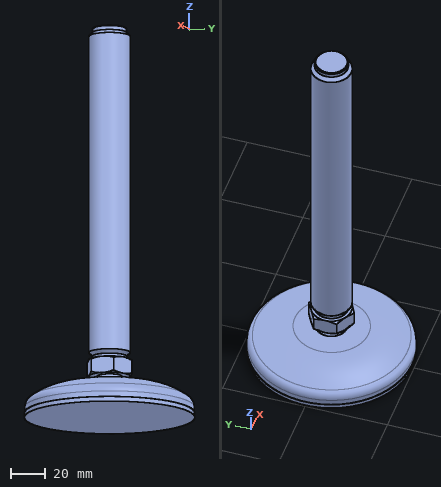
import cadquery as cq
import math

foot_diameter = 98.5
band_diameter = 98.0
rim_height = 2.8
band_top = 6.2
shoulder_diameter = 91.7
shoulder_top = 11.5
flat_top_diameter = 44.7
foot_height = 19.0

ball_diameter = 19.5
neck_diameter = 14.2
ball_top = 22.2

hex_bottom = 24.3
hex_height = 9.6
hex_across_flats = 24.0
hex_chamfer_angle = 30.0

spindle_diameter = 24.0
relief_diameter = 19.7
relief_top = 36.0
tip_bottom = 226.5
tip_face_diameter = 18.3
tip_chamfer_height = 0.5
total_height = 229.2

hex_top = hex_bottom + hex_height
hex_across_corners = hex_across_flats / math.cos(math.pi / 6)

spindle_chamfer = (spindle_diameter - relief_diameter) / 2
spindle_bottom = relief_top + spindle_chamfer
spindle_top = tip_bottom - spindle_chamfer


def point_on_circle(center, radius, angle):
    """Point at an angle in radians, measured from the outward horizontal."""
    return (center[0] + radius * math.cos(angle), center[1] + radius * math.sin(angle))


def make_foot():
    band_radius = band_diameter / 2
    shoulder_radius = shoulder_diameter / 2
    flat_radius = flat_top_diameter / 2

    shoulder_rise = shoulder_top - band_top
    shoulder_run = band_radius - shoulder_radius
    shoulder_arc = (shoulder_rise**2 + shoulder_run**2) / (2 * shoulder_run)
    shoulder_center = (band_radius - shoulder_arc, band_top)
    shoulder_angle = math.asin(shoulder_rise / shoulder_arc)
    shoulder_middle = point_on_circle(shoulder_center, shoulder_arc, shoulder_angle / 2)

    dome_rise = foot_height - shoulder_top
    dome_run = shoulder_radius - flat_radius
    dome_arc = (dome_rise**2 + dome_run**2) / (2 * dome_rise)
    dome_center = (flat_radius, foot_height - dome_arc)
    dome_angle = math.acos(dome_run / dome_arc)
    dome_middle = point_on_circle(dome_center, dome_arc, (dome_angle + math.pi / 2) / 2)

    return (
        cq.Workplane("XZ")
        .lineTo(foot_diameter / 2, 0)
        .lineTo(foot_diameter / 2, rim_height)
        .lineTo(band_radius, rim_height)
        .lineTo(band_radius, band_top)
        .threePointArc(shoulder_middle, (shoulder_radius, shoulder_top))
        .threePointArc(dome_middle, (flat_radius, foot_height))
        .lineTo(0, foot_height)
        .close()
        .revolve(360, (0, 0, 0), (0, 1, 0))
    )


def make_stem():
    """Ball, neck, spindle and tip turned as one piece."""
    ball_radius = ball_diameter / 2
    neck_radius = neck_diameter / 2
    relief_radius = relief_diameter / 2
    spindle_radius = spindle_diameter / 2

    ball_center = (0, ball_top - math.sqrt(ball_radius**2 - neck_radius**2))
    lower_angle = math.asin((foot_height - ball_center[1]) / ball_radius)
    upper_angle = math.acos(neck_radius / ball_radius)
    ball_start = point_on_circle(ball_center, ball_radius, lower_angle)
    ball_middle = point_on_circle(ball_center, ball_radius, (lower_angle + upper_angle) / 2)

    return (
        cq.Workplane("XZ")
        .moveTo(0, foot_height)
        .lineTo(*ball_start)
        .threePointArc(ball_middle, (neck_radius, ball_top))
        .lineTo(neck_radius, hex_bottom)
        .lineTo(relief_radius, hex_bottom)
        .lineTo(relief_radius, relief_top)
        .lineTo(spindle_radius, spindle_bottom)
        .lineTo(spindle_radius, spindle_top)
        .lineTo(relief_radius, tip_bottom)
        .lineTo(relief_radius, total_height - tip_chamfer_height)
        .lineTo(tip_face_diameter / 2, total_height)
        .lineTo(0, total_height)
        .close()
        .revolve(360, (0, 0, 0), (0, 1, 0))
    )


def make_hexagon():
    """Hexagon whose corners are cut by a cone at each end."""
    prism = (
        cq.Workplane("XY", origin=(0, 0, hex_bottom))
        .polygon(6, hex_across_corners)
        .extrude(hex_height)
        .rotate((0, 0, 0), (0, 0, 1), 30)
    )
    face_radius = hex_across_flats / 2
    corner_radius = hex_across_corners / 2
    corner_drop = (corner_radius - face_radius) * math.tan(math.radians(hex_chamfer_angle))
    envelope = (
        cq.Workplane("XZ")
        .moveTo(0, hex_bottom)
        .lineTo(face_radius, hex_bottom)
        .lineTo(corner_radius, hex_bottom + corner_drop)
        .lineTo(corner_radius, hex_top - corner_drop)
        .lineTo(face_radius, hex_top)
        .lineTo(0, hex_top)
        .close()
        .revolve(360, (0, 0, 0), (0, 1, 0))
    )
    return prism.intersect(envelope)


result = make_foot().union(make_stem()).union(make_hexagon())